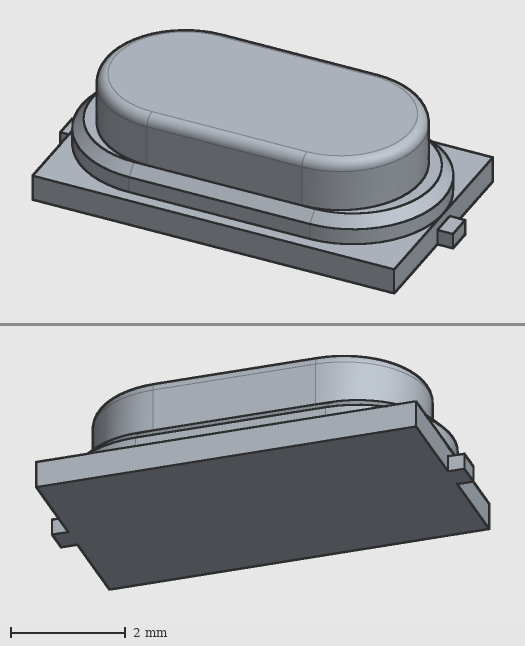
import cadquery as cq

base_length = 7.0
base_width = 4.0
base_height = 0.5

terminal_span = 7.6
terminal_width = 0.5
terminal_height = 0.3

flange_length = base_length
flange_width = 3.5
flange_height = 0.51
flange_chamfer = 0.2

overall_height = 2.01
can_length = 6.1
can_width = flange_width - 2 * flange_chamfer
can_fillet = 0.2

flange_top = base_height + flange_height


def box(length, width, height):
    """Block centred in X and Y, standing on Z = 0."""
    return cq.Workplane("XY").box(length, width, height, centered=(True, True, False))


def stadium(length, width, bottom, top):
    """Round-ended prism along X between two heights."""
    return cq.Workplane("XY").workplane(offset=bottom).slot2D(length, width).extrude(top - bottom)


def make_base():
    """Rectangular plate with the terminal strip protruding at both ends."""
    terminals = box(terminal_span, terminal_width, terminal_height)
    return box(base_length, base_width, base_height).union(terminals)


def make_flange():
    """Round-ended flange with a chamfered upper edge."""
    flange = stadium(flange_length, flange_width, base_height, flange_top)
    return flange.faces(">Z").chamfer(flange_chamfer)


def make_can():
    """Round-ended can with a rounded upper edge."""
    can = stadium(can_length, can_width, flange_top, overall_height)
    return can.faces(">Z").edges().fillet(can_fillet)


result = make_base().union(make_flange()).union(make_can())